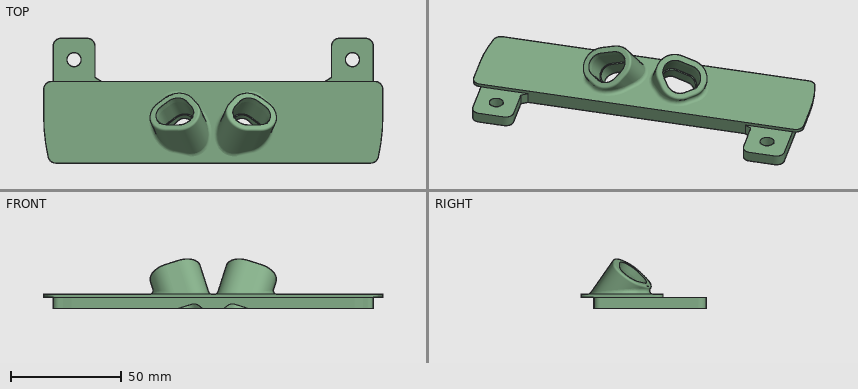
import cadquery as cq
import math

plate_width = 154.0
plate_depth = 37.2
plate_thickness = 1.5
plate_corner_radius = 3.75
plate_straight_start = 21.5
plate_side_inset = 2.75

slab_width = 145.4
slab_height = 5.0
slab_front = 5.6
slab_corner_radius = 2.7
front_step_depth = 0.43
front_step_outer = 4.6
front_step_inner = 8.4
overall_depth = 56.8
tab_width = 19.1
tab_corner_radius = 3.75
tab_hole_diameter = 6.3
tab_hole_from_back = 9.8
tab_flare_width = 2.9
tab_flare_depth = 1.8

lean_back = 33.6
lean_out = 17.7
rim_center_x = 17.45
rim_center_y = 22.35
rim_center_z = 16.57
wall = 3.35
rim_fillet = 0.95
base_fillet = 1.6
socket_length = 45.0

bore_half_flat = 3.0
bore_radius = 5.55
bore_roof_radius = 5.8
ledge_width = 0.6
ledge_depth = 12.6
mouth_step = 0.3
mouth_depth = 3.0

edge_margin = 0.01

plate_top = slab_height + plate_thickness


def plate():
    """Thin plate with straight sides that curve inwards towards the front."""
    half = plate_width / 2
    radius = (plate_straight_start**2 + plate_side_inset**2) / (2 * plate_side_inset)
    middle_y = plate_straight_start / 2
    middle_x = half - radius + math.sqrt(radius**2 - middle_y**2)
    front_half = half - plate_side_inset
    return (
        cq.Workplane("XY", origin=(0, 0, slab_height))
        .moveTo(-front_half, 0)
        .lineTo(front_half, 0)
        .threePointArc((middle_x, middle_y), (half, plate_straight_start))
        .lineTo(half, plate_depth)
        .lineTo(-half, plate_depth)
        .lineTo(-half, plate_straight_start)
        .threePointArc((-middle_x, middle_y), (-front_half, 0))
        .close()
        .extrude(plate_thickness)
        .edges("|Z and (<Y or >Y)")
        .fillet(plate_corner_radius)
    )


def slab():
    """Slab with two drilled tabs; its front face steps back slightly at both ends."""
    half = slab_width / 2
    tab_inner = half - tab_width
    right_half = [
        (half - front_step_inner, slab_front),
        (half - front_step_outer, slab_front + front_step_depth),
        (half, slab_front + front_step_depth),
        (half, overall_depth),
        (tab_inner, overall_depth),
        (tab_inner, plate_depth + tab_flare_depth),
        (tab_inner - tab_flare_width, plate_depth),
    ]
    left_half = [(-x, y) for x, y in reversed(right_half)]
    hole_x = half - tab_width / 2
    hole_y = overall_depth - tab_hole_from_back
    holes = (
        cq.Workplane("XY")
        .pushPoints([(-hole_x, hole_y), (hole_x, hole_y)])
        .circle(tab_hole_diameter / 2)
        .extrude(slab_height)
    )
    body = cq.Workplane("XY").polyline(right_half + left_half).close().extrude(slab_height)
    body = body.edges("|Z and >Y").fillet(tab_corner_radius)
    body = body.edges("|Z").edges("<X or >X").edges("<Y").fillet(slab_corner_radius)
    return body.cut(holes)


def rim_plane(side):
    """Plane of a socket's rim: its normal leans back and outwards, side is -1 or 1."""
    back = math.radians(lean_back)
    out = math.radians(lean_out) * side
    normal = (
        math.cos(back) * math.sin(out),
        math.sin(back),
        math.cos(back) * math.cos(out),
    )
    across = (math.cos(out), 0, -math.sin(out))
    origin = (side * rim_center_x, rim_center_y, rim_center_z)
    return cq.Plane(origin=origin, xDir=across, normal=normal)


def socket_outline(plane, inset=0.0):
    """Flat floor, a round at each side, then 45-degree slopes up to a rounded roof.

    A positive inset moves the whole outline inwards, a negative one outwards.
    """
    radius = bore_radius - inset
    roof_radius = bore_roof_radius - inset
    diagonal = radius * math.sqrt(0.5)
    slope_x = bore_half_flat + diagonal
    apex_y = diagonal + slope_x
    roof_x = roof_radius * math.sqrt(0.5)
    roof_y = apex_y - roof_x
    roof_top = apex_y - roof_radius * (math.sqrt(2) - 1)
    side_x = bore_half_flat + radius
    return (
        cq.Workplane(plane)
        .moveTo(-bore_half_flat, -radius)
        .lineTo(bore_half_flat, -radius)
        .threePointArc((side_x, 0), (slope_x, diagonal))
        .lineTo(roof_x, roof_y)
        .threePointArc((0, roof_top), (-roof_x, roof_y))
        .lineTo(-slope_x, diagonal)
        .threePointArc((-side_x, 0), (-bore_half_flat, -radius))
        .close()
    )


def socket_body(side):
    """Slanted outer body with a rounded rim, sunk into the plate."""
    plane = rim_plane(side)
    body = socket_outline(plane, -wall).extrude(-socket_length)
    rim = cq.selectors.NearestToPointSelector(plane.origin.toTuple())
    body = body.faces(rim).edges().fillet(rim_fillet)
    above_plate = (
        cq.Workplane("XY", origin=(0, plate_depth / 2, slab_height))
        .rect(plate_width, plate_depth)
        .extrude(socket_length)
    )
    return body.intersect(above_plate)


def socket_bore(side):
    """Through bore with a flared mouth and a ledge near its lower end."""
    plane = rim_plane(side)
    narrow = socket_outline(plane, ledge_width).extrude(-socket_length)
    wide = socket_outline(plane).extrude(-ledge_depth)
    rim_wire = socket_outline(plane, -mouth_step).val()
    throat_wire = socket_outline(plane).val().translate(plane.zDir * -mouth_depth)
    mouth = cq.Solid.makeLoft([rim_wire, throat_wire], True)
    return narrow.union(wide).union(cq.Workplane(mouth))


def base_edges():
    """Selector for the outlines where the sockets meet the top of the plate."""
    reach = plate_width / 2 - plate_side_inset - plate_corner_radius
    return cq.selectors.BoxSelector(
        (-reach, edge_margin, plate_top - edge_margin),
        (reach, plate_depth - edge_margin, plate_top + edge_margin),
        boundingbox=True,
    )


result = plate().union(slab())
for side in (-1, 1):
    result = result.union(socket_body(side))
result = result.edges(base_edges()).fillet(base_fillet)
for side in (-1, 1):
    result = result.cut(socket_bore(side))